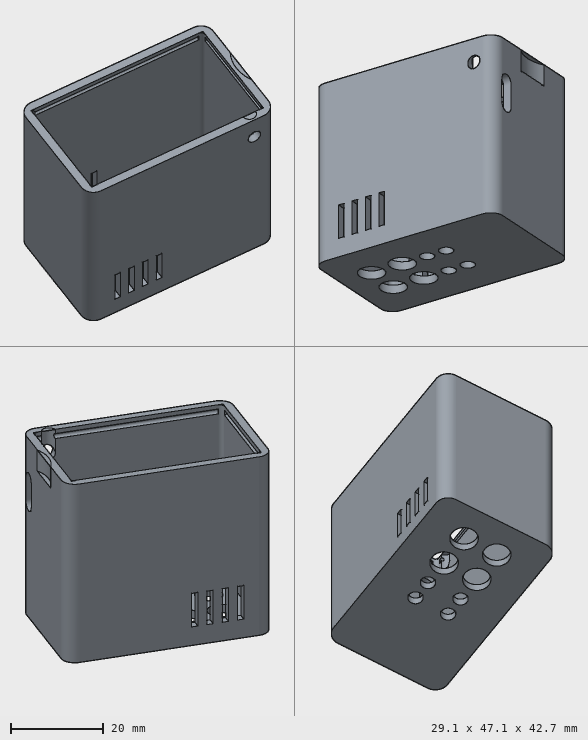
import cadquery as cq

LENGTH_X = 29.1
LENGTH_Y = 47.1
HEIGHT = 42.7
WALL = 2.0
FLOOR = 2.0
OUTER_CORNER_RADIUS = 3.1
CAVITY_CORNER_RADIUS = 1.0

LIP_THICKNESS = 0.1

CAVITY_X = LENGTH_X - 2 * WALL
CAVITY_Y = LENGTH_Y - 2 * WALL
INNER_FACE_X = CAVITY_X / 2
INNER_FACE_Y = CAVITY_Y / 2
LIP_UNDERSIDE = HEIGHT - LIP_THICKNESS
THROUGH_WALL = 3 * WALL

COLUMN_SPACING = 8.35
SMALL_HOLE_DIAMETER = 3.3
SMALL_HOLE_ROWS = (3.95, -1.0)
LARGE_HOLE_DIAMETER = 6.1
LARGE_HOLE_ROWS = (-7.45, -15.4)

VENT_COUNT = 4
VENT_WIDTH = 1.4
VENT_HEIGHT = 8.0
VENT_PITCH = 3.5
VENT_BOTTOM = 4.47
VENT_CENTRE_Y = -11.0

GROOVE_RADIUS = 0.55
GROOVE_DEPTH_BELOW_TOP = 1.65
GROOVE_END_GAP = 1.0

CHANNEL_DIAMETER = 3.1
CHANNEL_Y = 18.15
CHANNEL_CENTRE_X = INNER_FACE_X - 0.15
CROSS_HOLE_Z = 37.1

PORT_WIDTH = 3.5
PORT_HEIGHT = 9.0
PORT_X = 10.0
PORT_Z = 30.0

THUMB_RADIUS = 9.4
THUMB_DEPTH = 1.15
THUMB_HEIGHT = 5.0


def box_on(z_bottom, size_x, size_y, size_z):
    return cq.Workplane("XY").workplane(offset=z_bottom).rect(size_x, size_y).extrude(size_z)


def make_shell():
    body = box_on(0, LENGTH_X, LENGTH_Y, HEIGHT).edges("|Z").fillet(OUTER_CORNER_RADIUS)
    cavity = box_on(FLOOR, CAVITY_X, CAVITY_Y, HEIGHT - FLOOR).edges("|Z").fillet(CAVITY_CORNER_RADIUS)
    lip_opening = box_on(LIP_UNDERSIDE, CAVITY_X, CAVITY_Y, LIP_THICKNESS)
    return body.cut(cavity).cut(lip_opening)


def floor_holes(diameter, rows):
    centres = [(side * COLUMN_SPACING / 2, y) for side in (-1, 1) for y in rows]
    return cq.Workplane("XY").pushPoints(centres).circle(diameter / 2).extrude(FLOOR)


def vent_slots():
    slots = cq.Workplane("YZ").center(VENT_CENTRE_Y, VENT_BOTTOM + VENT_HEIGHT / 2)
    slots = slots.rarray(VENT_PITCH, 0.45, VENT_COUNT, 1).rect(VENT_WIDTH, VENT_HEIGHT)
    return slots.extrude(LENGTH_X, both=True)


def snap_grooves():
    groove_z = HEIGHT - GROOVE_DEPTH_BELOW_TOP
    half_x = INNER_FACE_X - GROOVE_END_GAP
    half_y = INNER_FACE_Y - GROOVE_END_GAP
    along_x = cq.Workplane("YZ").pushPoints([(-INNER_FACE_Y, groove_z), (INNER_FACE_Y, groove_z)])
    along_y = cq.Workplane("XZ").pushPoints([(-INNER_FACE_X, groove_z), (INNER_FACE_X, groove_z)])
    along_x = along_x.circle(GROOVE_RADIUS).extrude(half_x, both=True)
    along_y = along_y.circle(GROOVE_RADIUS).extrude(half_y, both=True)
    return along_x.add(along_y).combine()


def cable_channel():
    radius = CHANNEL_DIAMETER / 2
    upright = cq.Workplane("XY").workplane(offset=CROSS_HOLE_Z).center(CHANNEL_CENTRE_X, CHANNEL_Y)
    upright = upright.circle(radius).extrude(LIP_UNDERSIDE - CROSS_HOLE_Z)
    cross_hole = cq.Workplane("YZ").workplane(offset=CHANNEL_CENTRE_X).center(CHANNEL_Y, CROSS_HOLE_Z)
    return upright.union(cross_hole.circle(radius).extrude(THROUGH_WALL))


def port_slot():
    slot = cq.Workplane("XZ", origin=(PORT_X, LENGTH_Y / 2, PORT_Z))
    return slot.slot2D(PORT_HEIGHT, PORT_WIDTH, 90).extrude(WALL)


def thumb_recess():
    centre_y = LENGTH_Y / 2 - THUMB_DEPTH + THUMB_RADIUS
    recess = cq.Workplane("XY").workplane(offset=LIP_UNDERSIDE).center(0, centre_y)
    return recess.circle(THUMB_RADIUS).extrude(-THUMB_HEIGHT)


result = (
    make_shell()
    .cut(floor_holes(SMALL_HOLE_DIAMETER, SMALL_HOLE_ROWS))
    .cut(floor_holes(LARGE_HOLE_DIAMETER, LARGE_HOLE_ROWS))
    .cut(vent_slots())
    .cut(snap_grooves())
    .cut(cable_channel())
    .cut(port_slot())
    .cut(thumb_recess())
)